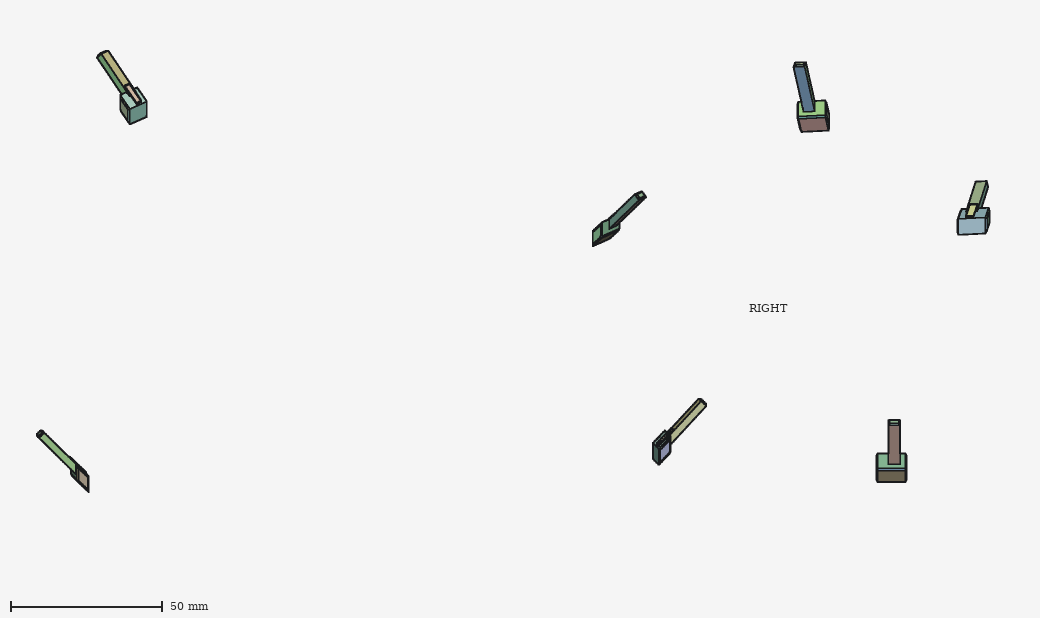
import cadquery as cq
import math

OVERALL_LENGTH = 224.7
OVERALL_HEIGHT = 20.5
TIP_X = -OVERALL_LENGTH / 2

PAD_WIDTH = 10.0
PAD_OUTER_X = TIP_X + 12.4
PAD_INNER_X = TIP_X + 16.5
PAD_OUTER_BOTTOM = 4.0
PAD_OUTER_TOP = 9.5
PAD_INNER_TOP = 5.5
PAD_BEVEL = 0.5
PAD_LOWER_BEVEL = 0.5

ARM_WIDTH = 3.8
ARM_CENTER_Y = 1.0
ARM_THICKNESS = 2.5
ARM_ANGLE = 46.0
ARM_TIP_BEVEL = 0.5
ARM_END_X = PAD_OUTER_X + 1.8

RIB_WIDTH = 2.7
RIB_START_X = TIP_X + 11.0
RIB_END_X = TIP_X + 16.0
RIB_HEIGHT = 0.5
RIB_DEPTH = 1.1


def extrude_profile(points, width, center_y):
    """Extrude an XZ outline symmetrically about center_y."""
    plane = cq.Workplane("XZ", origin=(0, center_y, 0))
    return plane.polyline(points).close().extrude(width / 2, both=True)


def make_pad():
    pad = extrude_profile(
        [
            (PAD_OUTER_X, PAD_OUTER_BOTTOM),
            (PAD_OUTER_X, PAD_OUTER_TOP),
            (PAD_INNER_X, PAD_INNER_TOP),
            (PAD_INNER_X, 0),
        ],
        PAD_WIDTH,
        0,
    )
    pad = pad.faces("<X").edges("<Z").chamfer(PAD_LOWER_BEVEL)
    return pad.faces("<Y or >Y").edges().chamfer(PAD_BEVEL)


def make_arm():
    angle = math.radians(ARM_ANGLE)
    overshoot = ARM_TIP_BEVEL * math.cos(angle)
    tip_bottom_x = TIP_X - overshoot
    tip_top_x = tip_bottom_x + ARM_THICKNESS * math.sin(angle)
    tip_top_z = OVERALL_HEIGHT + overshoot
    tip_bottom_z = tip_top_z - ARM_THICKNESS * math.cos(angle)
    slope = math.tan(angle)
    arm = extrude_profile(
        [
            (tip_top_x, tip_top_z),
            (tip_bottom_x, tip_bottom_z),
            (ARM_END_X, tip_bottom_z - (ARM_END_X - tip_bottom_x) * slope),
            (ARM_END_X, tip_top_z - (ARM_END_X - tip_top_x) * slope),
        ],
        ARM_WIDTH,
        ARM_CENTER_Y,
    )
    tip_direction = cq.Vector(-math.cos(angle), 0, math.sin(angle))
    tip_face = arm.faces(cq.selectors.DirectionMinMaxSelector(tip_direction))
    return tip_face.edges().chamfer(ARM_TIP_BEVEL)


def make_rib():
    slope = (PAD_OUTER_TOP - PAD_INNER_TOP) / (PAD_INNER_X - PAD_OUTER_X)
    start_z = PAD_OUTER_TOP + (PAD_OUTER_X - RIB_START_X) * slope
    end_z = PAD_OUTER_TOP - (RIB_END_X - PAD_OUTER_X) * slope
    return extrude_profile(
        [
            (RIB_START_X, start_z - RIB_DEPTH),
            (RIB_START_X, start_z + RIB_HEIGHT),
            (RIB_END_X, end_z + RIB_HEIGHT),
            (RIB_END_X, end_z - RIB_DEPTH),
        ],
        RIB_WIDTH,
        ARM_CENTER_Y,
    )


def make_clip(mirrored):
    clip = make_pad().union(make_arm()).union(make_rib())
    return clip.mirror("YZ") if mirrored else clip


clips = [make_clip(mirrored) for mirrored in (False, True)]

result = cq.Compound.makeCompound([clip.val() for clip in clips])